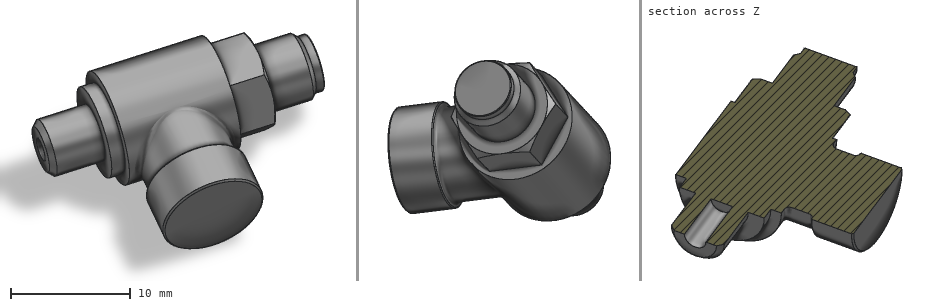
import cadquery as cq
import math

body_diameter = 10.0
body_length = 10.0

collar_diameter = 8.0
collar_length = 1.2
stem_diameter = 5.0
stem_length = 4.8
stem_chamfer = 0.5
bore_diameter = 2.0
bore_depth = stem_length

hex_across_flats = 8.0
hex_length = 3.5
hex_chamfer_angle = math.radians(30)
spigot_diameter = 5.85
spigot_length = 5.0
nose_diameter = 5.0
nose_length = 0.75
nose_chamfer = 0.07

neck_diameter = 8.0
port_diameter = 9.0
port_end = 11.5
port_start = 7.5
port_inner_chamfer = 0.1
port_outer_chamfer = 0.15
neck_fillet = 0.5

body_front = -body_length / 2
collar_front = body_front - collar_length
stem_front = collar_front - stem_length
body_back = body_length / 2
hex_back = body_back + hex_length
spigot_back = hex_back + spigot_length


def cylinder_y(diameter, start, length):
    """Cylinder on the Y axis running toward +Y from start."""
    plane = cq.Workplane("XZ", origin=(0, start, 0))
    return plane.circle(diameter / 2).extrude(-length)


def make_hex():
    """Hexagon with corners on the X axis and a conical bevel on its back face."""
    flat_radius = hex_across_flats / 2
    corner_diameter = hex_across_flats / math.cos(math.pi / 6)
    corner_radius = corner_diameter / 2
    bevel_drop = (corner_radius - flat_radius) * math.tan(hex_chamfer_angle)
    prism = (
        cq.Workplane("XZ", origin=(0, body_back, 0))
        .polygon(6, corner_diameter)
        .extrude(-hex_length)
    )
    bevel_envelope = (
        cq.Workplane("XY")
        .moveTo(0, body_back)
        .lineTo(corner_radius, body_back)
        .lineTo(corner_radius, hex_back - bevel_drop)
        .lineTo(flat_radius, hex_back)
        .lineTo(0, hex_back)
        .close()
        .revolve(360, (0, 0, 0), (0, 1, 0))
    )
    return prism.intersect(bevel_envelope)


def make_spigot():
    """Back spigot with a 45 degree step down to a smaller nose."""
    spigot_radius = spigot_diameter / 2
    nose_radius = nose_diameter / 2
    nose_front = spigot_back - nose_length
    step_front = nose_front - (spigot_radius - nose_radius)
    return (
        cq.Workplane("XY")
        .moveTo(0, hex_back)
        .lineTo(spigot_radius, hex_back)
        .lineTo(spigot_radius, step_front)
        .lineTo(nose_radius, nose_front)
        .lineTo(nose_radius, spigot_back - nose_chamfer)
        .lineTo(nose_radius - nose_chamfer, spigot_back)
        .lineTo(0, spigot_back)
        .close()
        .revolve(360, (0, 0, 0), (0, 1, 0))
    )


def make_port_head():
    """Port head with a concave flare from the neck and chamfered rims."""
    neck_radius = neck_diameter / 2
    port_radius = port_diameter / 2
    flare_radius = port_radius - port_inner_chamfer - neck_radius
    flare_start = port_start - flare_radius
    diagonal = flare_radius * math.sqrt(0.5)
    flare_middle = (flare_start + diagonal, neck_radius + flare_radius - diagonal)
    return (
        cq.Workplane("XY")
        .moveTo(flare_start, 0)
        .lineTo(flare_start, neck_radius)
        .threePointArc(flare_middle, (port_start, neck_radius + flare_radius))
        .lineTo(port_start + port_inner_chamfer, port_radius)
        .lineTo(port_end - port_outer_chamfer, port_radius)
        .lineTo(port_end, port_radius - port_outer_chamfer)
        .lineTo(port_end, 0)
        .close()
        .revolve(360, (0, 0, 0), (1, 0, 0))
    )


body = cylinder_y(body_diameter, body_front, body_length)
neck = cq.Workplane("YZ").circle(neck_diameter / 2).extrude(port_start)
tee = body.union(neck)
junction_edges = [edge for edge in tee.edges().vals() if edge.geomType() not in ("LINE", "CIRCLE")]
tee = tee.newObject(junction_edges).fillet(neck_fillet)

collar = cylinder_y(collar_diameter, collar_front, collar_length)
stem = cylinder_y(stem_diameter, stem_front, stem_length).faces("<Y").chamfer(stem_chamfer)
bore = cylinder_y(bore_diameter, stem_front, bore_depth)

result = (
    tee.union(make_port_head())
    .union(collar)
    .union(stem)
    .union(make_hex())
    .union(make_spigot())
    .cut(bore)
)